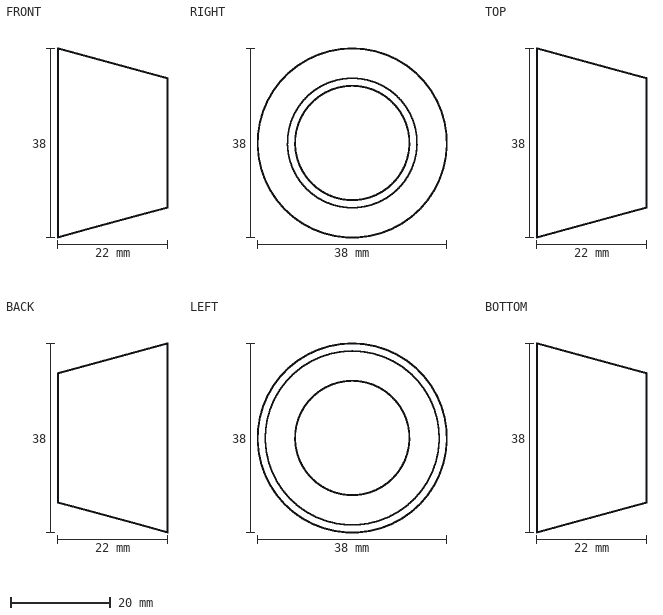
import cadquery as cq

length = 22.0
large_outer_diameter = 38.0
small_outer_diameter = 26.0
wall = 1.55


def cone(large_diameter, small_diameter):
    """Solid frustum along X, wide end at X = 0."""
    large_radius = large_diameter / 2
    small_radius = small_diameter / 2
    return (
        cq.Workplane("XZ")
        .polyline([(0, 0), (0, large_radius), (length, small_radius), (length, 0)])
        .close()
        .revolve(360, (0, 0, 0), (1, 0, 0))
    )


outer_body = cone(large_outer_diameter, small_outer_diameter)
bore = cone(large_outer_diameter - 2 * wall, small_outer_diameter - 2 * wall)

result = outer_body.cut(bore)